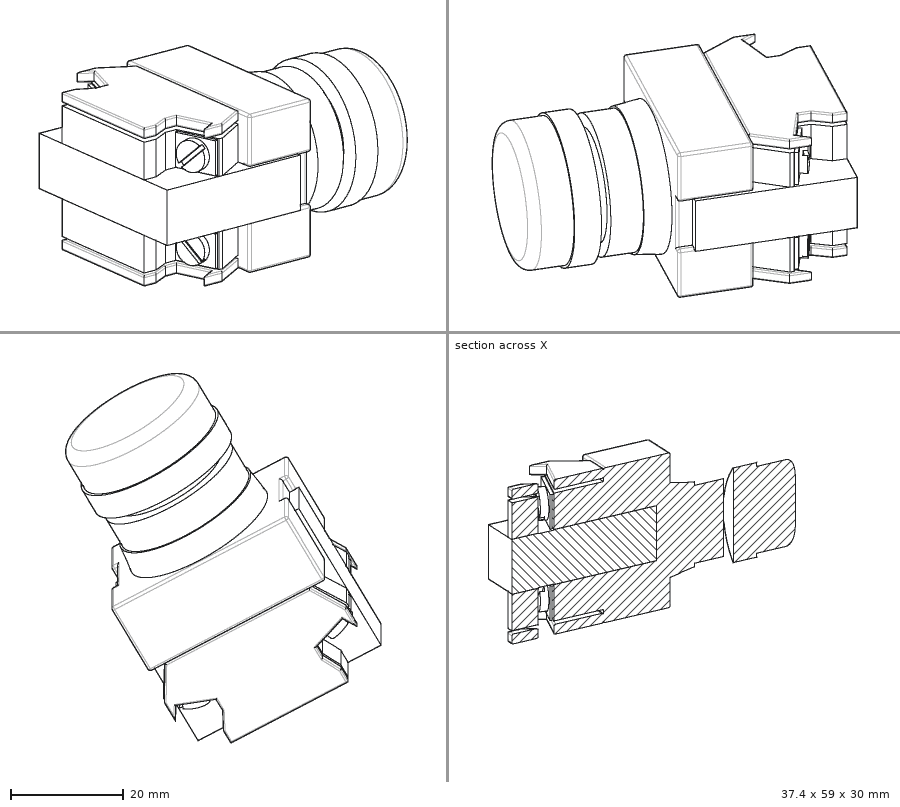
import cadquery as cq
import math


BUTTON_FRONT = 59.0
COLLAR_FRONT = 51.0
COLLAR_REAR = 46.0
SLEEVE_FRONT = 44.0
CONE_FRONT = 38.0
BLOCK_FRONT = 33.0
BLOCK_REAR = 19.0

BUTTON_RADIUS = 27.0 / 2
BUTTON_ROUNDING = 2.0
COLLAR_RADIUS = 28.0 / 2
NECK_RADIUS = 21.0 / 2
SLEEVE_RADIUS = 26.0 / 2
CONE_SMALL_RADIUS = 26.8 / 2
CONE_LARGE_RADIUS = COLLAR_RADIUS

HEIGHT = 30.0
BLOCK_WIDTH = 36.0
BLOCK_ROUNDING = 0.5
SIDE_NOTCH_DEPTH = 1.2
SIDE_NOTCH_HEIGHT = 10.05

BAR_WIDTH = 37.35
BAR_LENGTH = 30.0
BAR_HEIGHT = 10.5
BAR_TOP = BAR_HEIGHT / 2

MODULE_TOP = 12.4
MODULE_HALF_WIDTH = BAR_WIDTH / 2
REAR_HALF_WIDTH = 12.0
REAR_FLANK_END = 2.7
WAIST_HALF_WIDTH = 10.2
WAIST_START = 6.2
FLANK_REAR_Y = 12.5
FLANK_FRONT_HALF_WIDTH = 14.75

FLOOR_ANGLE = math.radians(20)
FLOOR_OUTER_Y = 11.7

COVER_THICKNESS = 2.0
COVER_HALF_WIDTH = 18.5
COVER_ROUNDING = 0.3
COVER_NOTCH_HALF_WIDTH = 17.0
COVER_TIP_Y = 8.45

TERMINAL_Z = (BAR_TOP + MODULE_TOP) / 2
PLATE_THICKNESS = 0.7
PLATE_END_GAP = 0.3
PLATE_LENGTH = 8.5
PLATE_SIDE_GAP = 0.25
PLATE_HEIGHT = MODULE_TOP - BAR_TOP - 2 * PLATE_SIDE_GAP
SCREW_RADIUS = 6.0 / 2
SCREW_HEIGHT = 1.55
SCREW_FROM_FLOOR_END = 4.6
SLOT_WIDTH = 0.9
SLOT_DEPTH = 0.9
SLOT_ANGLE = 43


def floor_plane(along):
    """Plane on the upper right screw floor, `along` the slope from its outer end, facing out."""
    x = MODULE_HALF_WIDTH - along * math.cos(FLOOR_ANGLE)
    return cq.Plane(
        origin=(x, floor_y(x), TERMINAL_Z),
        xDir=(math.cos(FLOOR_ANGLE), math.sin(FLOOR_ANGLE), 0),
        normal=(math.sin(FLOOR_ANGLE), -math.cos(FLOOR_ANGLE), 0),
    )


def floor_y(x):
    """Y of the sloping screw floor at a right-hand x."""
    return FLOOR_OUTER_Y - (MODULE_HALF_WIDTH - x) * math.tan(FLOOR_ANGLE)


def symmetric_prism(right_half, bottom, top):
    """Prism from a right-hand outline, mirrored about x = 0."""
    left_half = [(-x, y) for x, y in reversed(right_half)]
    outline = cq.Workplane("XY").workplane(offset=bottom).polyline(right_half + left_half).close()
    return outline.extrude(top - bottom)


def both_heights(upper):
    """Join a feature above the bar with its mirror image below."""
    return upper.union(upper.mirror("XY"))


def rear_outline():
    """Right-hand outline of module and cover, from the rear face to the inner end of the floor."""
    return [
        (REAR_HALF_WIDTH, 0),
        (REAR_HALF_WIDTH, REAR_FLANK_END),
        (WAIST_HALF_WIDTH, WAIST_START),
        (WAIST_HALF_WIDTH, floor_y(WAIST_HALF_WIDTH)),
    ]


def make_head():
    profile = (
        cq.Workplane("XY")
        .moveTo(0, BLOCK_FRONT)
        .lineTo(CONE_LARGE_RADIUS, BLOCK_FRONT)
        .lineTo(CONE_SMALL_RADIUS, CONE_FRONT)
        .lineTo(SLEEVE_RADIUS, CONE_FRONT)
        .lineTo(SLEEVE_RADIUS, SLEEVE_FRONT)
        .lineTo(NECK_RADIUS, SLEEVE_FRONT)
        .lineTo(NECK_RADIUS, COLLAR_REAR)
        .lineTo(COLLAR_RADIUS, COLLAR_REAR)
        .lineTo(COLLAR_RADIUS, COLLAR_FRONT)
        .lineTo(BUTTON_RADIUS, COLLAR_FRONT)
        .lineTo(BUTTON_RADIUS, BUTTON_FRONT - BUTTON_ROUNDING)
        .radiusArc((BUTTON_RADIUS - BUTTON_ROUNDING, BUTTON_FRONT), -BUTTON_ROUNDING)
        .lineTo(0, BUTTON_FRONT)
        .close()
    )
    return profile.revolve(360, (0, 0, 0), (0, 1, 0))


def make_block():
    """Rounded block with a notch along each side, level with the bar."""
    length = BLOCK_FRONT - BLOCK_REAR
    middle_y = (BLOCK_FRONT + BLOCK_REAR) / 2
    block = cq.Workplane("XY").box(BLOCK_WIDTH, length, HEIGHT)
    notches = (
        cq.Workplane("XY")
        .pushPoints([(-BLOCK_WIDTH / 2, 0), (BLOCK_WIDTH / 2, 0)])
        .box(2 * SIDE_NOTCH_DEPTH, length, SIDE_NOTCH_HEIGHT)
    )
    block = block.cut(notches)
    inner_corners = block.edges("|Y").filter(
        lambda edge: abs(edge.Center().x) < BLOCK_WIDTH / 2 - SIDE_NOTCH_DEPTH / 2
    )
    rounded = block.edges().filter(lambda edge: edge not in inner_corners.vals())
    return rounded.fillet(BLOCK_ROUNDING).translate((0, middle_y, 0))


def make_modules():
    outline = rear_outline() + [
        (MODULE_HALF_WIDTH, FLOOR_OUTER_Y),
        (MODULE_HALF_WIDTH, FLANK_REAR_Y),
        (FLANK_FRONT_HALF_WIDTH, BLOCK_REAR),
    ]
    return both_heights(symmetric_prism(outline, BAR_TOP, MODULE_TOP))


def make_covers():
    """Cover plates with rounded rims, joined to the block along their front edge."""
    top = HEIGHT / 2
    outline = rear_outline() + [
        (COVER_NOTCH_HALF_WIDTH, floor_y(COVER_NOTCH_HALF_WIDTH)),
        (COVER_HALF_WIDTH, COVER_TIP_Y),
        (COVER_HALF_WIDTH, FLANK_REAR_Y),
        (FLANK_FRONT_HALF_WIDTH, BLOCK_REAR),
    ]
    cover = symmetric_prism(outline, top - COVER_THICKNESS, top)
    return both_heights(cover.faces("|Z").edges().fillet(COVER_ROUNDING))


def make_bar():
    return cq.Workplane("XY").box(BAR_WIDTH, BAR_LENGTH, BAR_HEIGHT).translate((0, BAR_LENGTH / 2, 0))


def make_housing(bar):
    housing = make_head()
    for feature in (make_block(), make_modules(), make_covers()):
        housing = housing.union(feature)
    return housing.cut(bar)


def make_terminal(side, level):
    """Plate and screw head at side +1 (right) or -1 (left), level +1 (upper) or -1 (lower)."""
    plate = (
        cq.Workplane(floor_plane(PLATE_END_GAP + PLATE_LENGTH / 2))
        .rect(PLATE_LENGTH, PLATE_HEIGHT)
        .extrude(PLATE_THICKNESS)
    )
    screw_top = PLATE_THICKNESS + SCREW_HEIGHT
    head_plane = floor_plane(SCREW_FROM_FLOOR_END)
    head = cq.Workplane(head_plane).circle(SCREW_RADIUS).extrude(screw_top)
    slot = (
        cq.Workplane(head_plane)
        .workplane(offset=screw_top - SLOT_DEPTH)
        .transformed(rotate=(0, 0, SLOT_ANGLE))
        .rect(2 * SCREW_RADIUS + SLOT_WIDTH, SLOT_WIDTH)
        .extrude(SLOT_DEPTH)
    )
    terminal = plate.union(head).cut(slot)
    if side < 0:
        terminal = terminal.mirror("YZ")
    if level < 0:
        terminal = terminal.mirror("XY")
    return terminal


bar = make_bar()
housing = make_housing(bar)
terminals = [make_terminal(side, level) for side in (-1, 1) for level in (-1, 1)]

bodies = [housing, bar, *terminals]
result = cq.Compound.makeCompound([body.val() for body in bodies])